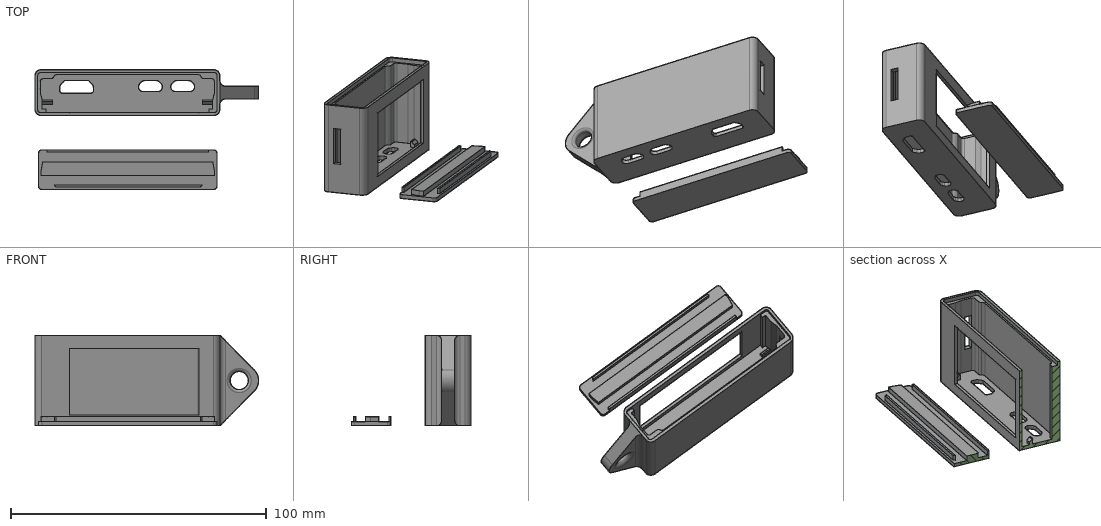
import cadquery as cq
import math

length = 72.4
depth = 18.0
height = 35.4
corner_radius = 2.5
floor_thickness = 1.7

seat_side_wall = 1.1
seat_front_wall = 1.2
seat_depth = 1.6
seat_radius = 1.05

cavity_end_wall = 2.2
cavity_back = 16.0
corner_post_front = 14.4
corner_post_inner = 6.3
corner_post_curve_length = 2.2
cavity_corner_radius = 1.05
taper_back = 8.75
taper_front = 6.0
taper_end_wall = 2.9
front_rib_back = 2.6
front_rib_inner = 4.4

block_length = 4.0
block_width = 1.7
block_height = 2.2
block_bevel = 1.1

window_left = 13.5
window_right = 64.2
window_bottom = 4.3
window_top = 30.1

slot_front = 10.5
slot_back = 13.5
slot_bottom = 11.7
slot_top = 26.0

opening_back = 13.65
wide_opening_left = 9.8
wide_opening_length = 13.0
wide_opening_width = 4.8
wide_opening_back_bevel = 1.8
wide_opening_side_rounding = 1.8
wide_opening_front_bevel = 0.6
small_opening_count = 2
small_opening_left = 40.6
small_opening_pitch = 12.6
small_opening_length = 9.2
small_opening_width = 4.2
small_opening_back_bevel = 1.6
small_opening_back_rounding = 1.6
small_opening_front_radius = 1.75

lug_reach = 87.5
lug_apex = 89.9
lug_thickness = 5.1
lug_flare = 2.1
lug_hole_x = 79.9
lug_hole_diameter = 7.0
lug_hole_rounding = 1.2

lid_length = 69.85
lid_depth = 15.5
lid_thickness = 1.6
lid_radius = 1.3
lid_left = 1.4
lid_front = -28.9
lid_feature_height = 2.0
rail_thickness = 0.83
back_rail_inset = 3.4
front_rail_left_inset = 6.2
front_rail_right_inset = 5.9
front_rail_front = 1.0
front_rail_end_slant = 0.6
bar_front = 5.5
bar_kink = 7.4
bar_back = 10.8
bar_front_inset = 1.05
bar_back_inset = 1.7


def box(x0, x1, y0, y1, z0, z1):
    """Box between two opposite corners."""
    return cq.Workplane("XY").box(x1 - x0, y1 - y0, z1 - z0, centered=False).translate((x0, y0, z0))


def make_cavity_half():
    """Left half of the inner space, with an S-curved step behind the corner post."""
    curve_middle = (corner_post_inner + corner_post_curve_length / 2, (corner_post_front + cavity_back) / 2)
    curve_end = (corner_post_inner + corner_post_curve_length, cavity_back)
    corner_end = (cavity_end_wall + cavity_corner_radius, corner_post_front)
    return (
        cq.Workplane("XY")
        .workplane(offset=floor_thickness)
        .moveTo(length / 2, seat_front_wall)
        .lineTo(front_rib_inner, seat_front_wall)
        .lineTo(front_rib_inner, front_rib_back)
        .lineTo(taper_end_wall, front_rib_back)
        .lineTo(taper_end_wall, taper_front)
        .lineTo(cavity_end_wall, taper_back)
        .lineTo(cavity_end_wall, corner_post_front - cavity_corner_radius)
        .tangentArcPoint(corner_end, relative=False)
        .lineTo(corner_post_inner, corner_post_front)
        .tangentArcPoint(curve_middle, relative=False)
        .tangentArcPoint(curve_end, relative=False)
        .lineTo(length / 2, cavity_back)
        .close()
        .extrude(height - floor_thickness)
    )


def make_cavity():
    """Tall inner space from the floor to the top, the same at both ends."""
    left_half = make_cavity_half()
    right_half = left_half.mirror("YZ", (length / 2, 0, 0))
    return left_half.union(right_half)


def make_lid_seat():
    """Shallow rounded recess that receives the lid."""
    seat = box(seat_side_wall, length - seat_side_wall, seat_front_wall, depth - seat_front_wall,
               height - seat_depth, height)
    return seat.edges("|Z").fillet(seat_radius)


def make_wide_opening():
    """Wide connector opening: bevelled corners, the back bevels rounded into the ends."""
    opening = box(wide_opening_left, wide_opening_left + wide_opening_length,
                  opening_back - wide_opening_width, opening_back, 0, floor_thickness)
    opening = opening.edges("|Z and >Y").chamfer(wide_opening_back_bevel)
    opening = opening.edges("|Z and (not <Y) and (not >Y)").fillet(wide_opening_side_rounding)
    return opening.edges("|Z and <Y").chamfer(wide_opening_front_bevel)


def make_small_opening(left):
    """Small connector opening: rounded front corners and softened back bevels."""
    opening = box(left, left + small_opening_length,
                  opening_back - small_opening_width, opening_back, 0, floor_thickness)
    opening = opening.edges("|Z and >Y").chamfer(small_opening_back_bevel)
    opening = opening.edges("|Z and (not <Y)").fillet(small_opening_back_rounding)
    return opening.edges("|Z and <Y").fillet(small_opening_front_radius)


def make_support_block(left):
    """Floor block with a bevel along its upper front edge."""
    block = box(left, left + block_length, taper_front - block_width, taper_front,
                floor_thickness, floor_thickness + block_height)
    return block.edges(">Z and <Y").chamfer(block_bevel)


def make_lug():
    """Triangular plate with sloping sides, a rounded tip and flared roots."""
    half_height = height / 2
    half_thickness = lug_thickness / 2
    middle = depth / 2
    inner = length - seat_side_wall
    side_angle = math.atan2(half_height, lug_apex - length)
    tip_radius = (lug_apex - lug_reach) / (1 / math.sin(side_angle) - 1)
    tangent_x = lug_reach - tip_radius + tip_radius * math.sin(side_angle)
    tangent_z = tip_radius * math.cos(side_angle)

    side_shape = (
        cq.Workplane("XZ")
        .moveTo(inner, 0)
        .lineTo(length, 0)
        .lineTo(tangent_x, half_height - tangent_z)
        .threePointArc((lug_reach, half_height), (tangent_x, half_height + tangent_z))
        .lineTo(length, height)
        .lineTo(inner, height)
        .close()
        .extrude(-depth)
    )

    flare_end = length + lug_flare
    root = half_thickness + lug_flare
    bulge = lug_flare * (1 - math.sqrt(0.5))
    plan_shape = (
        cq.Workplane("XY")
        .moveTo(inner, middle - root)
        .lineTo(length, middle - root)
        .threePointArc((length + bulge, middle - half_thickness - bulge), (flare_end, middle - half_thickness))
        .lineTo(lug_reach, middle - half_thickness)
        .lineTo(lug_reach, middle + half_thickness)
        .lineTo(flare_end, middle + half_thickness)
        .threePointArc((length + bulge, middle + half_thickness + bulge), (length, middle + root))
        .lineTo(inner, middle + root)
        .close()
        .extrude(height)
    )
    return side_shape.intersect(plan_shape)


def make_lug_hole():
    """Cutter for the lug hole, with both mouths rounded outward."""
    radius = lug_hole_diameter / 2
    mouth = radius + lug_hole_rounding
    half = lug_thickness / 2
    straight = half - lug_hole_rounding
    bulge = lug_hole_rounding * (1 - math.sqrt(0.5))
    return (
        cq.Workplane("XY")
        .moveTo(0, -half)
        .lineTo(mouth, -half)
        .threePointArc((radius + bulge, -half + bulge), (radius, -straight))
        .lineTo(radius, straight)
        .threePointArc((radius + bulge, half - bulge), (mouth, half))
        .lineTo(0, half)
        .close()
        .revolve(360, (0, 0), (0, 1))
        .translate((lug_hole_x, depth / 2, height / 2))
    )


def make_housing():
    """Open-topped housing with its lug, window, slot, openings and support blocks."""
    shell = box(0, length, 0, depth, 0, height).edges("|Z").fillet(corner_radius)
    shell = shell.union(make_lug()).cut(make_lug_hole())
    shell = shell.cut(make_cavity()).cut(make_lid_seat())
    shell = shell.cut(box(window_left, window_right, 0, seat_front_wall, window_bottom, window_top))
    shell = shell.cut(box(0, cavity_end_wall, slot_front, slot_back, slot_bottom, slot_top))
    shell = shell.cut(make_wide_opening())
    for index in range(small_opening_count):
        shell = shell.cut(make_small_opening(small_opening_left + index * small_opening_pitch))
    for block_left in (taper_end_wall, length - taper_end_wall - block_length):
        shell = shell.union(make_support_block(block_left))
    return shell


def lid_feature(points):
    """Raised feature on the lid plate with the given outline."""
    outline = cq.Workplane("XY").workplane(offset=lid_thickness).polyline(points).close()
    return outline.extrude(lid_feature_height)


def make_lid():
    """Rounded plate carrying a rail along each long side and a bar between them."""
    top = lid_thickness + lid_feature_height
    plate = box(0, lid_length, 0, lid_depth, 0, lid_thickness).edges("|Z").fillet(lid_radius)
    back_rail = box(back_rail_inset, lid_length - back_rail_inset, lid_depth - rail_thickness, lid_depth,
                    lid_thickness, top)
    front_rail_right = lid_length - front_rail_right_inset
    front_rail_back = front_rail_front + rail_thickness
    front_rail = lid_feature([
        (front_rail_left_inset + front_rail_end_slant, front_rail_front),
        (front_rail_right - front_rail_end_slant, front_rail_front),
        (front_rail_right, front_rail_back),
        (front_rail_left_inset, front_rail_back),
    ])
    bar = lid_feature([
        (bar_front_inset, bar_front),
        (lid_length - bar_front_inset, bar_front),
        (lid_length - bar_front_inset, bar_kink),
        (lid_length - bar_back_inset, bar_back),
        (bar_back_inset, bar_back),
        (bar_front_inset, bar_kink),
    ])
    lid = plate.union(back_rail).union(front_rail).union(bar)
    return lid.translate((lid_left, lid_front, 0))


housing = make_housing()
lid = make_lid()

result = cq.Compound.makeCompound([housing.val(), lid.val()])